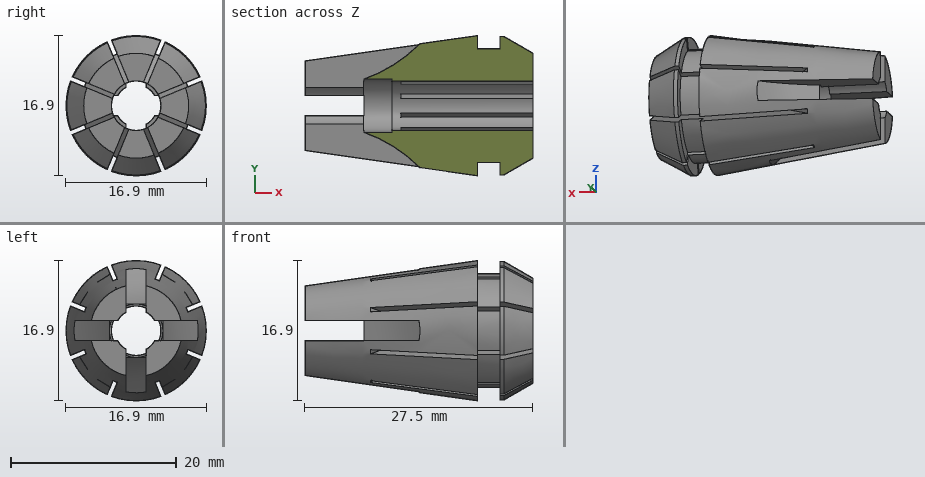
import cadquery as cq
import math

length = 27.5
taper_end = 20.82
flange_start = 23.48
flange_end = 23.98

taper_large_radius = 8.47
taper_angle = math.radians(8)
groove_radius = 6.88
flange_radius = 8.35
rear_cone_angle = math.radians(30)

nose_bore_radius = 2.53
relief_radius = 3.22
rear_bore_radius = 2.97
relief_start = 7.05
relief_end = 10.45

slot_count = 4
slot_width = 2.42
slot_floor_start = 7.1
cutter_radius = 18.0
cutter_x = 1.07

slit_count = 8
slit_width = 0.55
slit_start = 7.9
slit_floor_angle = math.radians(45)

clear_radius = 1.2 * taper_large_radius


def taper_radius(x):
    """Outer radius of the long taper at station x."""
    return taper_large_radius - (taper_end - x) * math.tan(taper_angle)


def body():
    """Revolved collet: long taper, groove, flange band and rear cone."""
    rear_radius = flange_radius - (length - flange_end) * math.tan(rear_cone_angle)
    outline = [
        (0, 0),
        (0, taper_radius(0)),
        (taper_end, taper_large_radius),
        (taper_end, groove_radius),
        (flange_start, groove_radius),
        (flange_start, flange_radius),
        (flange_end, flange_radius),
        (length, rear_radius),
        (length, 0),
    ]
    return cq.Workplane("XZ").polyline(outline).close().revolve(360, (0, 0), (1, 0))


def bore_section(start, end, radius):
    """Cylinder on the X axis between two stations."""
    return cq.Workplane("YZ", origin=(start, 0, 0)).circle(radius).extrude(end - start)


def bore():
    """Nose bore, wider relief and rear bore joined end to end."""
    nose = bore_section(0, relief_start, nose_bore_radius)
    relief = bore_section(relief_start, relief_end, relief_radius)
    rear = bore_section(relief_end, length, rear_bore_radius)
    return nose.union(relief).union(rear)


def slot_cutter():
    """Cross slot on the +Z side: a straight run in from the nose, ending on a disc arc."""
    cutter_z = relief_radius + math.sqrt(cutter_radius**2 - (slot_floor_start - cutter_x) ** 2)

    def floor_x(z):
        return cutter_x + math.sqrt(cutter_radius**2 - (cutter_z - z) ** 2)

    mid_z = (relief_radius + clear_radius) / 2
    return (
        cq.Workplane("XZ")
        .moveTo(0, 0)
        .lineTo(slot_floor_start, 0)
        .lineTo(slot_floor_start, relief_radius)
        .threePointArc((floor_x(mid_z), mid_z), (floor_x(clear_radius), clear_radius))
        .lineTo(0, clear_radius)
        .close()
        .extrude(slot_width / 2, both=True)
    )


def slit_cutter():
    """Thin radial slit on the +Z side, reaching from the bore to the outer surface."""
    start_radius = taper_radius(slit_start)
    floor_end = slit_start + start_radius / math.tan(slit_floor_angle)
    outline = [
        (slit_start, clear_radius),
        (slit_start, start_radius),
        (floor_end, 0),
        (length, 0),
        (length, clear_radius),
    ]
    return cq.Workplane("XZ").polyline(outline).close().extrude(slit_width / 2, both=True)


def cut_around_axis(part, cutter, count, first_angle):
    """Cut evenly spaced copies of a cutter around the X axis."""
    for i in range(count):
        angle = first_angle + i * 360 / count
        part = part.cut(cutter.rotate((0, 0, 0), (1, 0, 0), angle))
    return part


collet = body().cut(bore())
collet = cut_around_axis(collet, slot_cutter(), slot_count, 0)
collet = cut_around_axis(collet, slit_cutter(), slit_count, 180 / slit_count)
result = collet